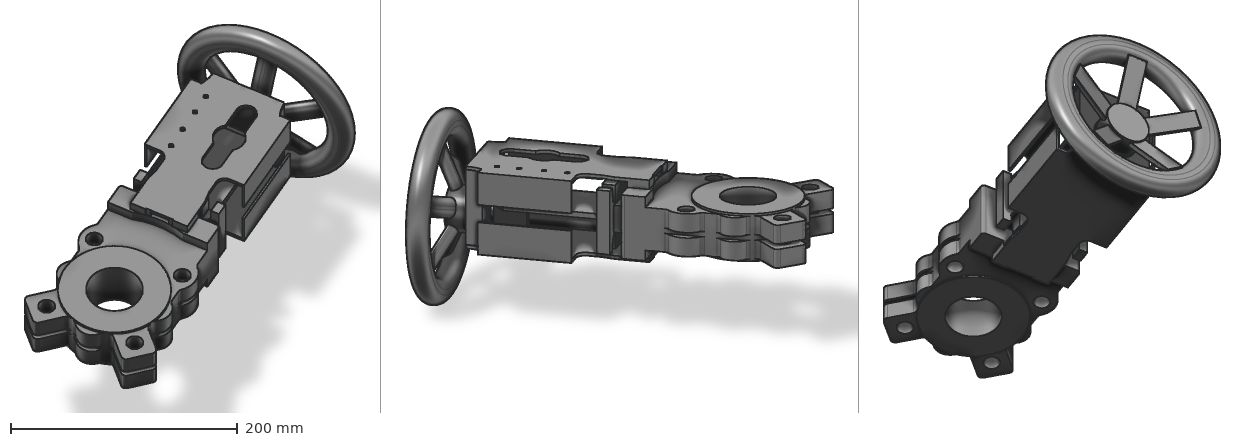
import cadquery as cq
import math

overall_length = 356.7

bore_radius = 25.0
face_radius = 50.0
face_half_height = 22.0
body_half_width = 50.0
body_half_height = 20.0
groove_half_width = 2.5
junction_fillet = 5.0

bolt_circle_radius = 62.5
bolt_hole_radius = 7.5
blind_hole_depth = 15.0
bolt_offset = bolt_circle_radius * math.sqrt(0.5)
ear_radius = 20.7
ear_reach = 57.5
bump_radius = 15.0
bump_reach = 56.0
lug_half_width = 16.0
lug_reach = 79.0
lug_corner = 4.5

neck_bottom = 80.0
neck_top = 102.7
neck_half_height = 29.5
neck_corner = 3.2
neck_relief_radius = 84.0

packing_half_width = 30.7
packing_half_height = 12.5
gland_bottom = 114.5
gland_top = 126.5
gland_half_width = 42.8
gland_half_height = neck_half_height
stud_slot_width = 9.0
stud_slot_offset = 30.5
stud_slot_floor = 14.3
stud_slot_fillet = 8.5

gate_half_width = 28.5
gate_top = 224.7
gate_chamfer = 8.2

yoke_half_height = 38.0
yoke_bottom = 82.5
yoke_top = 249.0
plate_thickness = 3.2
flange_bottom = 148.0
flange_top = 233.5
flange_thickness = 2.0
flange_inner_height = 8.2
shank_half_width = 26.5
shank_fillet = 8.5
foot_half_width = 28.5
foot_recess_half_width = 13.5
foot_recess_depth = 1.0
foot_opening_half_width = 9.3
yoke_end_half_width = 36.0
yoke_shoulder_half_width = 39.2
yoke_shoulder_bend = (36.7, 241.0)
yoke_end_corner = 2.0

window_x = 12.0
window_radius = 9.5
window_bottom = 150.2
window_top = 231.0
window_bulge_y = 190.0
window_bulge_radius = 14.5
pin_hole_x = -28.5
pin_hole_radius = 2.0
pin_hole_places = (157.7, 179.0, 202.0, 222.2)

crosspiece_bottom = 234.0
crosspiece_half_width = 35.3

stem_z = -14.0
stem_radius = 9.3
stem_bottom = 131.3
stem_chamfer = 1.8
nut_half_width = 16.0
nut_bottom = 198.7
nut_top = 229.0
nut_low_z = -24.5
nut_high_z = 2.0

wheel_diameter = 175.0
rim_width = 25.0
rim_thickness = 20.0
hub_radius = 21.0
hub_top = 273.0
hub_neck_radius = 15.0
washer_top = 252.2
hub_bottom = 253.5
spoke_count = 5
spoke_first_angle = 90
spoke_slope = 23.6
spoke_edge_radius = 8.0
spoke_flat = 3.2
spoke_width = 18.5
spoke_thickness = 8.0
spoke_start = 10.7
spoke_end = 67.8
spoke_bottom_at_hub = 262.5

lug_lowest = (lug_reach + lug_half_width - 2 * lug_corner) * math.sqrt(0.5) + lug_corner
wheel_y = overall_length - lug_lowest - rim_thickness / 2


def box(x0, x1, y0, y1, z0, z1):
    return cq.Workplane("XY").box(x1 - x0, y1 - y0, z1 - z0, centered=False).translate((x0, y0, z0))


def disc(x, y, radius, z0, z1):
    return cq.Workplane("XY", origin=(x, y, z0)).circle(radius).extrude(z1 - z0)


def stem_cylinder(radius, y0, y1):
    return cq.Workplane("XZ", origin=(0, y0, stem_z)).circle(radius).extrude(y0 - y1)


def both_sides(solid, plane):
    return solid.union(solid.mirror(plane))


def body_core(z0, z1):
    return disc(0, 0, face_radius, z0, z1).union(
        box(-body_half_width, body_half_width, 0, neck_relief_radius, z0, z1)
    )


def lug(z0, z1):
    blank = box(0, lug_reach, -lug_half_width, lug_half_width, z0, z1)
    return blank.edges("|Z and >X").fillet(lug_corner)


def body_flange():
    """One of the two flange layers, with its ears, bumps and lugs blended into the core."""
    z0, z1 = groove_half_width, body_half_height
    bump_centre = bump_reach - bump_radius
    outline = body_core(z0, z1).union(disc(0, -bump_centre, bump_radius, z0, z1))
    for side in (-1, 1):
        outline = outline.union(disc(side * (ear_reach - ear_radius), bolt_offset, ear_radius, z0, z1))
        outline = outline.union(disc(side * bump_centre, 0, bump_radius, z0, z1))
        outline = outline.union(lug(z0, z1).rotate((0, 0, 0), (0, 0, 1), -90 + side * 45))
    grown = outline.faces("<Z").wires().val().offset2D(junction_fillet)[0]
    blended = grown.offset2D(-junction_fillet)[0]
    return cq.Workplane("XY").add(blended).toPending().extrude(z1 - z0)


def valve_body():
    body = body_core(-groove_half_width, groove_half_width)
    body = body.union(both_sides(body_flange(), "XY"))
    body = body.union(disc(0, 0, face_radius, -face_half_height, face_half_height))
    neck = box(-body_half_width, body_half_width, neck_bottom, neck_top, -neck_half_height, neck_half_height)
    neck = neck.edges("|Z and >Y").fillet(neck_corner)
    neck = neck.cut(disc(0, 0, neck_relief_radius, -neck_half_height, neck_half_height))
    return body.union(neck)


def drill_body(body):
    body = body.cut(disc(0, 0, bore_radius, -face_half_height, face_half_height))
    for x in (-bolt_offset, bolt_offset):
        body = body.cut(disc(x, -bolt_offset, bolt_hole_radius, -body_half_height, body_half_height))
        hole_floor = body_half_height - blind_hole_depth
        blind_hole = disc(x, bolt_offset, bolt_hole_radius, hole_floor, body_half_height)
        body = body.cut(both_sides(blind_hole, "XY"))
    return body


def packing_and_gland():
    packing = box(-packing_half_width, packing_half_width, neck_top, gland_bottom,
                  -packing_half_height, packing_half_height)
    gland = box(-gland_half_width, gland_half_width, gland_bottom, gland_top,
                -gland_half_height, gland_half_height)
    slot_half = stud_slot_width / 2
    slot = box(stud_slot_offset - slot_half, stud_slot_offset + slot_half, gland_bottom, gland_top,
               stud_slot_floor, gland_half_height)
    slot = slot.edges("|Y and <Z and >X").fillet(stud_slot_fillet)
    slots = both_sides(both_sides(slot, "YZ"), "XY")
    return packing.union(gland.cut(slots))


def gate():
    blade = box(-gate_half_width, gate_half_width, gland_top, gate_top, -groove_half_width, groove_half_width)
    return blade.edges("|Z and >Y").chamfer(gate_chamfer)


def plate_openings():
    z0 = yoke_half_height - plate_thickness
    z1 = yoke_half_height
    window = box(window_x - window_radius, window_x + window_radius,
                 window_bottom + window_radius, window_top - window_radius, z0, z1)
    for y in (window_bottom + window_radius, window_top - window_radius):
        window = window.union(disc(window_x, y, window_radius, z0, z1))
    openings = window.union(disc(window_x, window_bulge_y, window_bulge_radius, z0, z1))
    for y in pin_hole_places:
        openings = openings.union(disc(pin_hole_x, y, pin_hole_radius, z0, z1))
    return openings


def plate_outline():
    bend_x, bend_y = yoke_shoulder_bend
    return (
        cq.Workplane("XY", origin=(0, 0, yoke_half_height))
        .moveTo(0, yoke_bottom)
        .lineTo(foot_half_width, yoke_bottom)
        .lineTo(foot_half_width, gland_bottom)
        .lineTo(shank_half_width, gland_top)
        .lineTo(shank_half_width, flange_bottom)
        .lineTo(body_half_width, flange_bottom)
        .lineTo(body_half_width, flange_top)
        .lineTo(yoke_shoulder_half_width, flange_top)
        .threePointArc((bend_x, bend_y), (yoke_end_half_width, yoke_top))
        .lineTo(0, yoke_top)
        .mirrorY()
    )


def yoke_plate():
    """The +Z plate: a folded channel whose narrow shank ends in a foot on the neck."""
    inner_height = yoke_half_height - plate_thickness
    plate = plate_outline().extrude(-plate_thickness)
    plate = plate.edges("|Z and >Y").fillet(yoke_end_corner)
    middle_height = (inner_height + yoke_half_height) / 2
    for x in (-shank_half_width, shank_half_width):
        corner = cq.selectors.NearestToPointSelector((x, flange_bottom, middle_height))
        plate = plate.edges(corner).fillet(shank_fillet)
    flange = box(body_half_width - flange_thickness, body_half_width, flange_bottom, flange_top,
                 flange_inner_height, yoke_half_height)
    plate = plate.union(both_sides(flange, "YZ"))
    foot = box(-foot_half_width, foot_half_width, yoke_bottom, neck_top, neck_half_height, inner_height)
    opening = box(-foot_opening_half_width, foot_opening_half_width, yoke_bottom, neck_top,
                  neck_half_height, inner_height)
    recess = box(-foot_recess_half_width, foot_recess_half_width,
                 yoke_bottom, yoke_bottom + foot_recess_depth,
                 neck_half_height, yoke_half_height)
    return plate.union(foot.cut(opening)).cut(recess)


def crosspiece():
    inner_height = yoke_half_height - plate_thickness
    return box(-crosspiece_half_width, crosspiece_half_width, crosspiece_bottom, yoke_top,
               -inner_height, inner_height)


def stem_and_nut():
    stem = stem_cylinder(stem_radius, stem_bottom, yoke_top).faces("<Y").chamfer(stem_chamfer)
    nut = box(-nut_half_width, nut_half_width, nut_bottom, nut_top, nut_low_z, nut_high_z)
    return stem.union(nut)


def spoke():
    """A round-bottomed spoke that climbs outward along +X from the hub; the wheel axis is Y."""
    slope = math.radians(spoke_slope)
    start_y = spoke_bottom_at_hub + (spoke_start - hub_radius) * math.tan(slope)
    length = (spoke_end - spoke_start) / math.cos(slope)
    section = cq.Plane(
        origin=(spoke_start, start_y, 0),
        xDir=(0, 0, -1),
        normal=(math.cos(slope), math.sin(slope), 0),
    )
    flat = spoke_flat / 2
    side = spoke_width / 2
    bend_x = flat + spoke_edge_radius * math.sqrt(0.5)
    bend_y = spoke_edge_radius * (1 - math.sqrt(0.5))
    arc_top = spoke_edge_radius - math.sqrt(spoke_edge_radius**2 - (side - flat) ** 2)
    return (
        cq.Workplane(section)
        .moveTo(-flat, 0)
        .lineTo(flat, 0)
        .threePointArc((bend_x, bend_y), (side, arc_top))
        .lineTo(side, spoke_thickness)
        .lineTo(-side, spoke_thickness)
        .lineTo(-side, arc_top)
        .threePointArc((-bend_x, bend_y), (-flat, 0))
        .close()
        .extrude(length)
    )


def handwheel():
    rim_middle = (wheel_diameter - rim_width) / 2
    wheel = (
        cq.Workplane("XY")
        .center(rim_middle, wheel_y)
        .slot2D(rim_width, rim_thickness)
        .revolve(360, (-rim_middle, 0, 0), (-rim_middle, 1, 0))
    )
    for i in range(spoke_count):
        angle = spoke_first_angle + i * 360 / spoke_count
        wheel = wheel.union(spoke().rotate((0, 0, 0), (0, 1, 0), -angle))
    return (
        wheel.translate((0, 0, stem_z))
        .union(stem_cylinder(hub_radius, hub_bottom, hub_top))
        .union(stem_cylinder(hub_neck_radius, yoke_top, hub_bottom))
        .union(stem_cylinder(hub_radius, yoke_top, washer_top))
    )


result = drill_body(valve_body())
result = result.union(packing_and_gland())
result = result.union(gate())
result = result.union(yoke_plate().cut(plate_openings()))
result = result.union(yoke_plate().mirror("XY"))
result = result.union(crosspiece())
result = result.union(stem_and_nut())
result = result.union(handwheel())